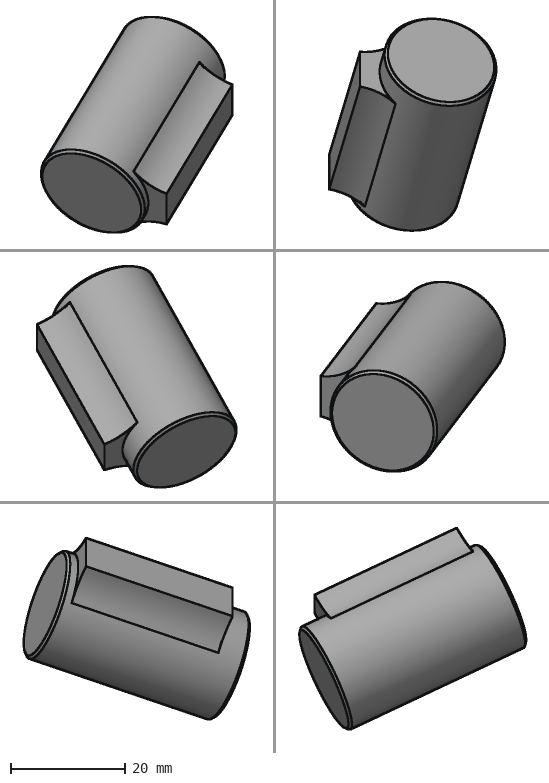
import cadquery as cq
import math

cylinder_length = 35.0
cylinder_diameter = 20.0
cylinder_chamfer = 0.5
overall_width = 23.5
pad_length = 28.0
pad_front_gap = 2.0
flank_center_height = 14.0

cylinder_radius = cylinder_diameter / 2
flank_radius = cylinder_radius
pad_face_x = overall_width - cylinder_radius
cylinder_front_y = -cylinder_length / 2
pad_front_y = cylinder_front_y + pad_front_gap


def make_cylinder():
    """Round bar along Y with both end edges chamfered."""
    return (
        cq.Workplane("XZ", origin=(0, cylinder_front_y, 0))
        .circle(cylinder_radius)
        .extrude(-cylinder_length)
        .faces("|Y")
        .edges()
        .chamfer(cylinder_chamfer)
    )


def make_pad():
    """Pad seated on the +X side of the cylinder, with concave flanks tangent to it."""
    center_distance = cylinder_radius + flank_radius
    flank_angle = math.asin(flank_center_height / center_distance)
    flank_center_x = center_distance * math.cos(flank_angle)

    def flank_point(angle):
        """Point on the upper flank, at an angle measured from the +X direction."""
        return (
            flank_center_x + flank_radius * math.cos(angle),
            flank_center_height + flank_radius * math.sin(angle),
        )

    tangent_angle = flank_angle - math.pi
    face_angle = -math.acos((pad_face_x - flank_center_x) / flank_radius)
    tangent_x, tangent_z = flank_point(tangent_angle)
    middle_x, middle_z = flank_point((tangent_angle + face_angle) / 2)
    face_z = flank_point(face_angle)[1]

    return (
        cq.Workplane("XZ", origin=(0, pad_front_y, 0))
        .moveTo(tangent_x, tangent_z)
        .threePointArc((middle_x, middle_z), (pad_face_x, face_z))
        .lineTo(pad_face_x, -face_z)
        .threePointArc((middle_x, -middle_z), (tangent_x, -tangent_z))
        .threePointArc((cylinder_radius, 0), (tangent_x, tangent_z))
        .close()
        .extrude(-pad_length)
    )


cylinder = make_cylinder()
pad = make_pad()

result = cq.Compound.makeCompound([cylinder.val(), pad.val()])